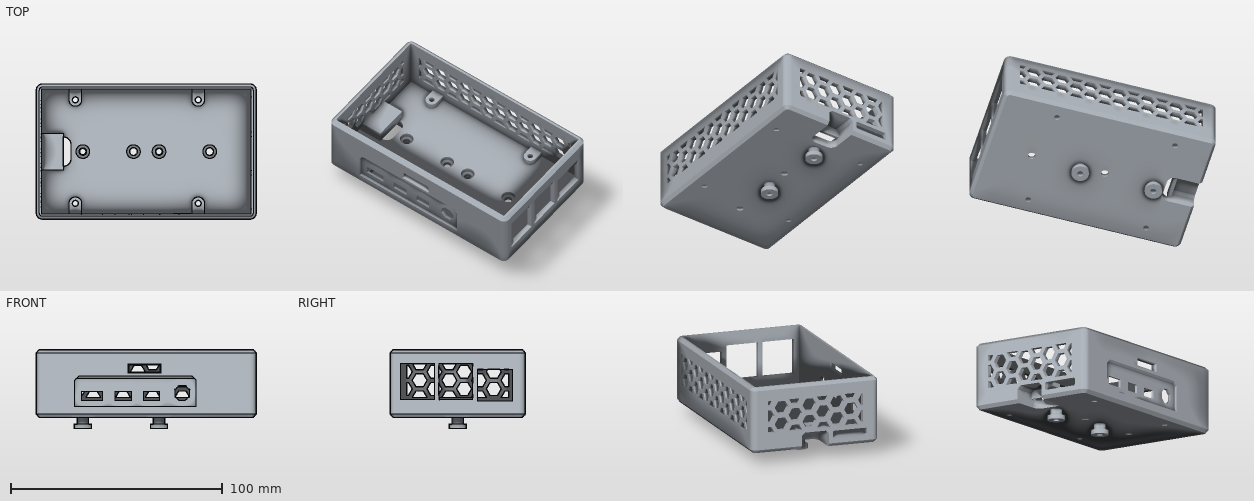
import cadquery as cq
import math

CASE_LENGTH = 104.0
CASE_WIDTH = 64.0
CASE_HEIGHT = 32.0
CORNER_RADIUS = 3.0
RIM_CHAMFER = 1.5
BASE_CHAMFER = 1.7
WALL = 2.5
FLOOR = 4.0
CAVITY_LENGTH = CASE_LENGTH - 2 * WALL
CAVITY_WIDTH = CASE_WIDTH - 2 * WALL
LEFT_FACE = -CASE_LENGTH / 2
FRONT_FACE = -CASE_WIDTH / 2
CUT_MARGIN = 1.0

LUG_WIDTH = 6.0
LUG_TOP = 7.0
LUG_HOLE = 2.7
LUG_X = (-33.5, 24.5)
LUG_Y = 24.4

SCREW_HOLE = 3.5
SCREW_HEAD = 6.5
SCREW_HEAD_DEPTH = 2.0
SCREW_SPACING = 36.0
PIN_X = (-30.0, -30.0 + SCREW_SPACING)
SCREW_X = (*PIN_X, *(-x for x in PIN_X))

PIN_LENGTH = 5.2
PIN_SHANK = 5.5
PIN_FLANGE = 8.2
PIN_FLANGE_THICKNESS = 2.1
PIN_BORE = 2.9

GRILLE_BOTTOM = 9.5
GRILLE_TOP = 25.2
BACK_GRILLE_LENGTH = 90.1
LEFT_GRILLE_LENGTH = 48.0
HEX_FLATS = 6.0
THREE_COLUMNS = 21.0
COLUMN_PITCH = THREE_COLUMNS / 3
ROW_PITCH = COLUMN_PITCH * 2 / math.sqrt(3)

PANEL_LEFT = -33.8
PANEL_RIGHT = 23.6
PANEL_BOTTOM = 5.2
PANEL_TOP = 19.7
PANEL_CORNER = 2.1
PANEL_DEPTH = 1.4
PORT_BOTTOM = 8.1
PORT_TOP = 12.2
PORT_SPANS = ((-30.5, -20.7), (-14.8, -7.1), (-1.2, 6.2))
JACK_X = 17.0
JACK_Z = 11.5
JACK_HOLE = 7.0
JACK_BOSS = 8.0
JACK_BOSS_HEIGHT = 0.3

RIBBON_LEFT = -8.5
RIBBON_RIGHT = 6.9
RIBBON_BOTTOM = 21.0
RIBBON_TOP = 25.2
RIBBON_CHAMFER = 0.4

NETWORK_WINDOW = ((9.4, 25.9), (7.8, 22.7))
USB_HEIGHTS = (8.4, 25.5)
USB_WINDOWS = (((-8.9, 7.1), USB_HEIGHTS), ((-27.0, -11.0), USB_HEIGHTS))

SLOT_START = -26.1
SLOT_END = -8.8
SLOT_TOP = 7.7
SLOT_CORNER = 0.8

NOTCH_WIDTH = 13.7
NOTCH_TOP = 8.1
NOTCH_CORNER = 1.6
NOTCH_LENGTH = 16.4
NOTCH_RADIUS = 3.5
HOOD_WIDTH = 17.2
HOOD_LENGTH = 12.9
HOOD_TOP = 9.4
HOOD_WALL = 1.5


def block(x_span, y_span, z_span):
    """A box given by its start and end along each axis."""
    spans = (x_span, y_span, z_span)
    sizes = [end - start for start, end in spans]
    corner = tuple(start for start, end in spans)
    return cq.Workplane("XY").box(*sizes, centered=False).translate(corner)


def cylinder(diameter, x, y, bottom, top):
    """An upright cylinder."""
    return cq.Workplane("XY", origin=(x, y, bottom)).circle(diameter / 2).extrude(top - bottom)


def make_shell():
    """Open-topped box with rounded upright edges and chamfered rim and base."""
    outer = cq.Workplane("XY").box(CASE_LENGTH, CASE_WIDTH, CASE_HEIGHT, centered=(True, True, False))
    outer = outer.edges("|Z").fillet(CORNER_RADIUS)
    outer = outer.faces(">Z").chamfer(RIM_CHAMFER)
    outer = outer.faces("<Z").chamfer(BASE_CHAMFER, RIM_CHAMFER)
    cavity = cq.Workplane("XY", origin=(0, 0, FLOOR)).rect(CAVITY_LENGTH, CAVITY_WIDTH).extrude(CASE_HEIGHT)
    return outer.cut(cavity)


def make_lug(x, side):
    """Round-ended lug standing on the floor against the wall at Y = side * CAVITY_WIDTH / 2."""
    y_span = sorted((side * LUG_Y, side * CAVITY_WIDTH / 2))
    arm = block((x - LUG_WIDTH / 2, x + LUG_WIDTH / 2), y_span, (FLOOR, LUG_TOP))
    return arm.union(cylinder(LUG_WIDTH, x, side * LUG_Y, FLOOR, LUG_TOP))


def add_lugs(case):
    for x in LUG_X:
        for side in (-1, 1):
            case = case.union(make_lug(x, side))
            case = case.cut(cylinder(LUG_HOLE, x, side * LUG_Y, 0, LUG_TOP))
    return case


def cut_screw_holes(case):
    for x in SCREW_X:
        case = case.cut(cylinder(SCREW_HOLE, x, 0, 0, FLOOR))
        case = case.cut(cylinder(SCREW_HEAD, x, 0, FLOOR - SCREW_HEAD_DEPTH, FLOOR))
    return case


def honeycomb(length, depth):
    """Hexagons clipped to a panel that starts at the origin and runs along +X, extruded along -Y.

    Column 0 is centred on the panel's start, row 0 on its lower edge; odd columns sit half a row up.
    """
    height = GRILLE_TOP - GRILLE_BOTTOM
    columns = math.ceil(length / COLUMN_PITCH) + 1
    rows = math.ceil(height / ROW_PITCH) + 1
    centres = [
        (column * COLUMN_PITCH, (row + column % 2 / 2) * ROW_PITCH)
        for column in range(columns)
        for row in range(rows)
    ]
    hex_corners = HEX_FLATS * 2 / math.sqrt(3)
    hexagons = cq.Workplane("XZ").pushPoints(centres).polygon(6, hex_corners).extrude(depth)
    return hexagons.intersect(block((0, length), (-depth, 0), (0, height)))


def cut_grilles(case):
    depth = WALL + 2 * CUT_MARGIN
    back = honeycomb(BACK_GRILLE_LENGTH, depth).rotate((0, 0, 0), (0, 0, 1), 180)
    back_start = (BACK_GRILLE_LENGTH / 2, CASE_WIDTH / 2 - WALL - CUT_MARGIN, GRILLE_BOTTOM)
    case = case.cut(back.translate(back_start))
    left = honeycomb(LEFT_GRILLE_LENGTH, depth).rotate((0, 0, 0), (0, 0, 1), -90)
    left_start = (LEFT_FACE + WALL + CUT_MARGIN, LEFT_GRILLE_LENGTH / 2, GRILLE_BOTTOM)
    return case.cut(left.translate(left_start))


def cut_port_panel(case):
    """Recess with clipped upper corners and a sloping upper face, and the ports through it."""
    front = cq.Workplane("XZ", origin=(0, FRONT_FACE, 0))
    outline = (
        front.moveTo(PANEL_LEFT, PANEL_BOTTOM)
        .lineTo(PANEL_RIGHT, PANEL_BOTTOM)
        .lineTo(PANEL_RIGHT, PANEL_TOP - PANEL_CORNER)
        .lineTo(PANEL_RIGHT - PANEL_CORNER, PANEL_TOP)
        .lineTo(PANEL_LEFT + PANEL_CORNER, PANEL_TOP)
        .lineTo(PANEL_LEFT, PANEL_TOP - PANEL_CORNER)
        .close()
    )
    sloped_section = (
        cq.Workplane("YZ", origin=(PANEL_LEFT, FRONT_FACE, 0))
        .moveTo(0, PANEL_BOTTOM)
        .lineTo(0, PANEL_TOP)
        .lineTo(PANEL_DEPTH, PANEL_TOP - PANEL_DEPTH)
        .lineTo(PANEL_DEPTH, PANEL_BOTTOM)
        .close()
        .extrude(PANEL_RIGHT - PANEL_LEFT)
    )
    recess = outline.extrude(-PANEL_DEPTH).intersect(sloped_section)
    case = case.cut(recess)
    wall_span = (FRONT_FACE, FRONT_FACE + WALL)
    for port_span in PORT_SPANS:
        case = case.cut(block(port_span, wall_span, (PORT_BOTTOM, PORT_TOP)))
    return case


def octagon(flats, depth):
    """Octagonal prism with level flats, running outward along -Y from the face of the jack boss."""
    boss_face = FRONT_FACE + WALL + JACK_BOSS_HEIGHT
    sides = 8
    half_step = 180 / sides
    across_corners = flats / math.cos(math.radians(half_step))
    plane = cq.Workplane("XZ", origin=(JACK_X, boss_face, JACK_Z)).transformed(rotate=(0, 0, half_step))
    return plane.polygon(sides, across_corners).extrude(depth)


def add_jack(case):
    """Octagonal hole through the port panel with a low boss on the inside of the wall."""
    boss = octagon(JACK_BOSS, JACK_BOSS_HEIGHT)
    hole = octagon(JACK_HOLE, WALL + JACK_BOSS_HEIGHT)
    return case.union(boss).cut(hole)


def cut_ribbon_opening(case):
    """Opening with a chamfer around its outer mouth."""
    length = RIBBON_RIGHT - RIBBON_LEFT
    height = RIBBON_TOP - RIBBON_BOTTOM
    centre = ((RIBBON_LEFT + RIBBON_RIGHT) / 2, FRONT_FACE, (RIBBON_BOTTOM + RIBBON_TOP) / 2)
    front = cq.Workplane("XZ", origin=centre)
    throat = front.rect(length - 2 * RIBBON_CHAMFER, height - 2 * RIBBON_CHAMFER).extrude(-WALL)
    mouth = front.rect(length, height).extrude(-RIBBON_CHAMFER, taper=45)
    return case.cut(throat).cut(mouth)


def cut_windows(case):
    wall_span = (CAVITY_LENGTH / 2, CASE_LENGTH / 2)
    for y_span, z_span in (NETWORK_WINDOW, *USB_WINDOWS):
        case = case.cut(block(wall_span, y_span, z_span))
    return case


def cut_slot(case):
    slot = block((LEFT_FACE, LEFT_FACE + WALL), (SLOT_START, SLOT_END), (FLOOR, SLOT_TOP))
    return case.cut(slot.edges("|X").fillet(SLOT_CORNER))


def add_card_notch(case):
    """Hood on the floor, then the clipped opening under it and the round-cornered floor notch."""
    hood = block(
        (LEFT_FACE + WALL, LEFT_FACE + HOOD_LENGTH), (-HOOD_WIDTH / 2, HOOD_WIDTH / 2), (FLOOR, HOOD_TOP)
    )
    notch_y = (-NOTCH_WIDTH / 2, NOTCH_WIDTH / 2)
    opening = block((LEFT_FACE, LEFT_FACE + HOOD_LENGTH - HOOD_WALL), notch_y, (0, NOTCH_TOP))
    opening = opening.edges("|X and >Z").chamfer(NOTCH_CORNER)
    floor_notch = block((LEFT_FACE, LEFT_FACE + NOTCH_LENGTH), notch_y, (0, FLOOR))
    floor_notch = floor_notch.edges("|Z and >X").fillet(NOTCH_RADIUS)
    return case.union(hood).cut(opening).cut(floor_notch)


def make_case():
    case = make_shell()
    case = add_lugs(case)
    case = cut_screw_holes(case)
    case = cut_grilles(case)
    case = cut_port_panel(case)
    case = add_jack(case)
    case = cut_ribbon_opening(case)
    case = cut_windows(case)
    case = cut_slot(case)
    return add_card_notch(case)


def make_pin(x):
    """Flanged hanging pin below a screw hole, bored through."""
    shank = cylinder(PIN_SHANK, x, 0, -PIN_LENGTH, 0)
    flange = cylinder(PIN_FLANGE, x, 0, -PIN_LENGTH, PIN_FLANGE_THICKNESS - PIN_LENGTH)
    return shank.union(flange).cut(cylinder(PIN_BORE, x, 0, -PIN_LENGTH, 0))


case = make_case()
pins = [make_pin(x) for x in PIN_X]

result = cq.Compound.makeCompound([case.val(), *(pin.val() for pin in pins)])